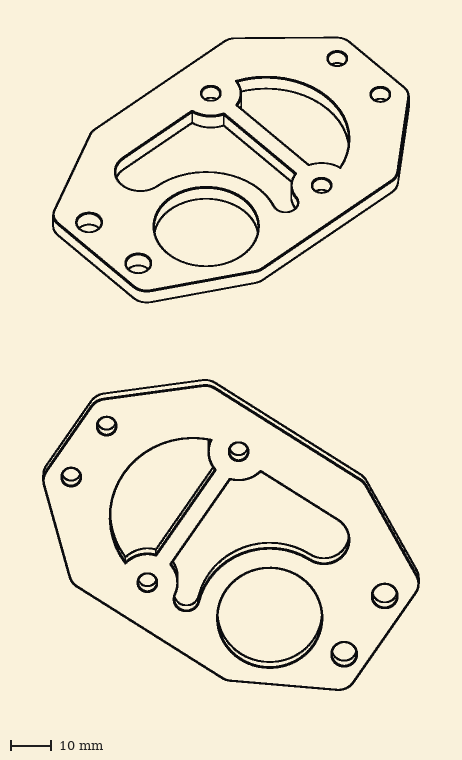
import cadquery as cq
import math

thickness = 4.5
width = 61.5
length = 93.0
top_y = 36.6
bottom_y = top_y - length
top_edge_half = 12.0
bottom_edge_half = 16.5
shoulder_top_y = 15.5
shoulder_bottom_y = -30.0
corner_radius = 4.5
edge_chamfer = 0.225

top_hole_diameter = 4.5
top_hole_spacing = 15.75
top_hole_y = 30.6
boss_hole_diameter = 4.5
boss_hole_spacing = 40.5
bottom_hole_diameter = 6.0
bottom_hole_spacing = 18.0
bottom_hole_y = -50.4

bore_diameter = 25.5
bore_x = 11.25
bore_y = -30.0
ring_radius = 18.0

boss_x = boss_hole_spacing / 2
boss_radius = 7.5
bar_width = 4.5
arch_radius = boss_x
window_left_x = -18.9
tip_radius = 2.97


def circle_crossing(center_a, radius_a, center_b, radius_b):
    """Return the crossing of two circles lying to the right of the line from a to b."""
    dx = center_b[0] - center_a[0]
    dy = center_b[1] - center_a[1]
    distance = math.hypot(dx, dy)
    along = (distance**2 + radius_a**2 - radius_b**2) / (2 * distance)
    across = math.sqrt(radius_a**2 - along**2)
    x = center_a[0] + (along * dx + across * dy) / distance
    y = center_a[1] + (along * dy - across * dx) / distance
    return x, y


def point_toward(start, target, distance):
    """Return the point at the given distance from start, heading for target."""
    scale = distance / math.dist(start, target)
    return (
        start[0] + scale * (target[0] - start[0]),
        start[1] + scale * (target[1] - start[1]),
    )


def make_plate():
    """Eight-sided plate, symmetric about the Y axis, with rounded corners."""
    right_side = [
        (bottom_edge_half, bottom_y),
        (width / 2, shoulder_bottom_y),
        (width / 2, shoulder_top_y),
        (top_edge_half, top_y),
    ]
    left_side = [(-x, y) for x, y in reversed(right_side)]
    plate = cq.Workplane("XY").polyline(right_side + left_side).close().extrude(thickness)
    return plate.edges("|Z").fillet(corner_radius)


def cylinder(x, y, radius):
    """Full-thickness cylinder standing at (x, y)."""
    return cq.Workplane("XY").center(x, y).circle(radius).extrude(thickness)


def hole_pair(spacing, y, diameter):
    """Two through-hole cutters placed symmetrically about the Y axis."""
    left = cylinder(-spacing / 2, y, diameter / 2)
    right = cylinder(spacing / 2, y, diameter / 2)
    return left.union(right)


def break_edges(body):
    """Chamfer every edge of the two flat faces."""
    return body.faces("<Z or >Z").edges().chamfer(edge_chamfer)


def make_flared_disc(radius):
    """Full-thickness disc on the origin that widens by the edge chamfer at both flat faces."""
    mouth_radius = radius + edge_chamfer
    half_profile = [
        (0, 0),
        (mouth_radius, 0),
        (radius, edge_chamfer),
        (radius, thickness - edge_chamfer),
        (mouth_radius, thickness),
        (0, thickness),
    ]
    return cq.Workplane("XZ").polyline(half_profile).close().revolve(360, (0, 0), (0, 1))


def make_arch_window():
    """Window above the bar, with its chamfered rim: a flared disc less the bosses and all below the bar top."""
    block_size = 3 * arch_radius
    below_bar_top = (
        cq.Workplane("XY")
        .center(0, (bar_width - block_size) / 2)
        .rect(block_size, block_size)
        .extrude(thickness)
    )
    window = make_flared_disc(arch_radius).cut(break_edges(below_bar_top))
    for x in (-boss_x, boss_x):
        window = window.cut(break_edges(cylinder(x, 0, boss_radius)))
    return window


def make_hook_window():
    """Window below the bar, curling around the ring and ending in a rounded tip beside the right boss."""
    bar_bottom_y = -bar_width / 2
    left_boss = (-boss_x, 0)
    right_boss = (boss_x, 0)
    bore = (bore_x, bore_y)

    side_top_y = -math.sqrt(boss_radius**2 - (window_left_x + boss_x) ** 2)
    bar_end_x = boss_x - math.sqrt(boss_radius**2 - bar_bottom_y**2)
    left_middle = point_toward(left_boss, (-bar_end_x, side_top_y), boss_radius)

    tip = circle_crossing(bore, ring_radius + tip_radius, right_boss, boss_radius + tip_radius)
    tip_start = point_toward(right_boss, tip, boss_radius)
    tip_end = point_toward(bore, tip, ring_radius)
    tip_middle = (tip[0] + tip_radius, tip[1])
    right_middle = point_toward(right_boss, (bar_end_x, tip_start[1]), boss_radius)

    ring_left_x = bore_x - ring_radius
    ring_middle = point_toward(bore, (ring_left_x, bore_y + ring_radius), ring_radius)
    foot_radius = (ring_left_x - window_left_x) / 2
    foot_bottom = (window_left_x + foot_radius, bore_y - foot_radius)

    return (
        cq.Workplane("XY")
        .moveTo(window_left_x, side_top_y)
        .threePointArc(left_middle, (-bar_end_x, bar_bottom_y))
        .lineTo(bar_end_x, bar_bottom_y)
        .threePointArc(right_middle, tip_start)
        .threePointArc(tip_middle, tip_end)
        .threePointArc(ring_middle, (ring_left_x, bore_y))
        .threePointArc(foot_bottom, (window_left_x, bore_y))
        .close()
        .extrude(thickness)
    )


cutters = [
    make_hook_window(),
    cylinder(bore_x, bore_y, bore_diameter / 2),
    hole_pair(top_hole_spacing, top_hole_y, top_hole_diameter),
    hole_pair(boss_hole_spacing, 0, boss_hole_diameter),
    hole_pair(bottom_hole_spacing, bottom_hole_y, bottom_hole_diameter),
]

plate = make_plate()
for cutter in cutters:
    plate = plate.cut(cutter)

result = break_edges(plate).cut(make_arch_window())